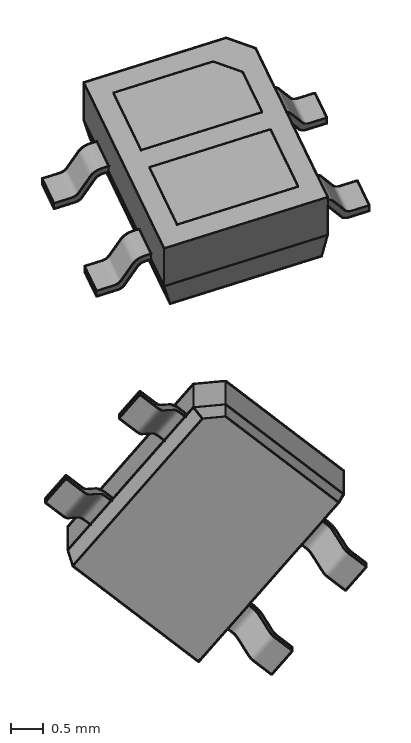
import cadquery as cq
import math

length_x = 3.4
span_y = 4.5
top_z = 1.5

body_y = 2.7
standoff = 0.015
parting_z = 0.518
taper_inset = 0.1
corner_chamfer = 0.35

wall = 0.35
window_x = (length_x - 3 * wall) / 2
window_y = body_y - 2 * wall
window_height = top_z - parting_z
window_pitch = window_x + wall

lead_width = 0.51
lead_pitch = 1.795
lead_thickness = 0.15
lead_z = parting_z
foot_length = 0.365
slope_angle = 60.0
slope_run = lead_z / math.tan(math.radians(slope_angle))
underside_shift = 0.055
shoulder_radius = 0.235
bend_radius = 0.135


def chamfered_block(size_x, size_y, height, chamfer):
    """Block standing on Z = 0 with its (-X, +Y) vertical edge chamfered."""
    block = cq.Workplane("XY").box(size_x, size_y, height, centered=(True, True, False))
    return block.edges("|Z and <X and >Y").chamfer(chamfer)


def round_bend(strip, y, z, radius):
    """Round the bend edges of a lead strip at (+y, z) and (-y, z)."""
    for side in (-1, 1):
        edge = cq.selectors.NearestToPointSelector((0, side * y, z))
        strip = strip.edges("|X").edges(edge).fillet(radius)
    return strip


def make_lead_strip(x):
    """Gull-wing strip running through the body, with a foot at each end."""
    tip_y = span_y / 2
    foot_y = tip_y - foot_length
    knee_y = foot_y - slope_run
    under_foot_y = foot_y - underside_shift
    under_knee_y = knee_y - underside_shift
    lead_top_z = lead_z + lead_thickness
    half_outline = [
        (under_knee_y, lead_z),
        (under_foot_y, 0),
        (tip_y, 0),
        (tip_y, lead_thickness),
        (foot_y, lead_thickness),
        (knee_y, lead_top_z),
    ]
    mirrored = [(-y, z) for y, z in reversed(half_outline)]
    strip = cq.Workplane("YZ").polyline(half_outline + mirrored).close().extrude(lead_width / 2, both=True)
    strip = round_bend(strip, knee_y, lead_top_z, shoulder_radius)
    strip = round_bend(strip, under_knee_y, lead_z, bend_radius)
    strip = round_bend(strip, foot_y, lead_thickness, bend_radius)
    strip = round_bend(strip, under_foot_y, 0, bend_radius)
    return strip.translate((x, 0, 0))


def make_windows():
    """Two posts from the parting plane to the top; the left one has a chamfered corner."""
    left = chamfered_block(window_x, window_y, window_height, corner_chamfer)
    right = cq.Workplane("XY").box(window_x, window_y, window_height, centered=(True, True, False))
    left = left.translate((-window_pitch / 2, 0, parting_z))
    right = right.translate((window_pitch / 2, 0, parting_z))
    return left.add(right)


def cut_all(body, tools):
    """Cut every solid in tools out of the body."""
    for tool in tools:
        body = body.cut(cq.Workplane(tool))
    return body


def make_frame(windows, leads):
    """Upper body with two window openings and channels for the leads."""
    frame = chamfered_block(length_x, body_y, top_z - parting_z, corner_chamfer)
    frame = frame.translate((0, 0, parting_z))
    return cut_all(frame, windows.vals() + leads)


def make_base(windows, leads):
    """Lower body with tapered long walls, carrying the window posts around the leads."""
    half_y = body_y / 2
    half_bottom_y = half_y - taper_inset
    section = [
        (-half_bottom_y, standoff),
        (half_bottom_y, standoff),
        (half_y, parting_z),
        (-half_y, parting_z),
    ]
    base = cq.Workplane("YZ").polyline(section).close().extrude(length_x / 2, both=True)
    base = base.intersect(chamfered_block(length_x, body_y, parting_z, corner_chamfer))
    for window in windows.vals():
        base = base.union(cq.Workplane(window))
    return cut_all(base, leads)


windows = make_windows()
leads = [make_lead_strip(side * lead_pitch / 2).val() for side in (-1, 1)]
frame = make_frame(windows, leads)
base = make_base(windows, leads)

result = cq.Compound.makeCompound([
    *frame.solids().vals(),
    *base.solids().vals(),
    *leads,
])